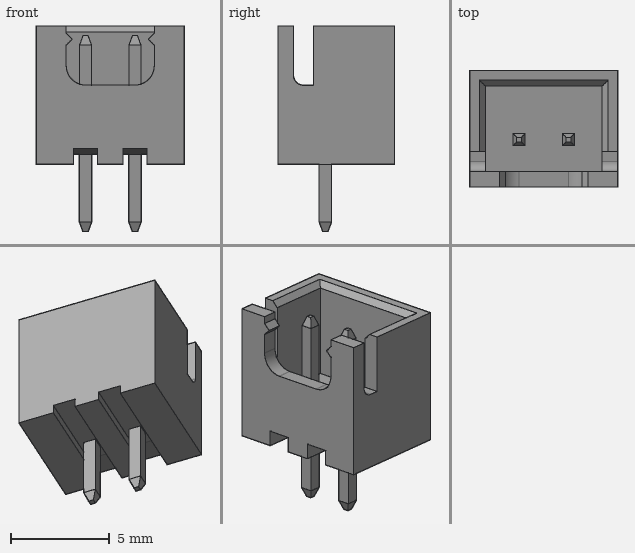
import cadquery as cq

overall_height = 10.4
housing_width = 7.5
housing_depth = 5.91
housing_height = 7.0
wall = 0.8
floor_thickness = 2.0
lead_in = 0.3

opening_width = 4.45
opening_depth = 3.0
opening_radius = 0.99
tooth_reach = 0.3
tooth_drop = 0.68

slot_width = 1.0
slot_radius = 0.5

channel_width = 1.2
channel_height = 0.5
channel_mouth_height = 0.8
channel_slope_length = 1.48

pin_pitch = 2.5
pin_y = 2.4
contact_width = 0.6
tail_width = 0.65
contact_tip_width = 0.24
tail_tip_width = 0.27
pin_recess = 0.48
tip_length = 0.5
pin_top = housing_height - pin_recess
pin_bottom = housing_height - overall_height
pin_positions = (-pin_pitch / 2, pin_pitch / 2)

cut_margin = 0.1


def block(x_range, y_range, z_range):
    """Box between two limits along each axis."""
    size = [high - low for low, high in (x_range, y_range, z_range)]
    corner = (x_range[0], y_range[0], z_range[0])
    return cq.Workplane("XY").box(*size, centered=False).translate(corner)


def make_cavity():
    """Open-topped cavity with a chamfered lead-in on the back and side walls."""
    half_width = housing_width / 2 - wall
    back = housing_depth - wall
    cavity = block((-half_width, half_width), (wall, back), (floor_thickness, housing_height))
    flare_width = 2 * (half_width + lead_in)
    flare = (
        cq.Workplane("XY", origin=(0, 0, housing_height - lead_in))
        .rect(2 * half_width, 2 * back)
        .workplane(offset=lead_in)
        .rect(flare_width, 2 * (back + lead_in))
        .loft(ruled=True)
    )
    behind_front_wall = block(
        (-housing_width, housing_width), (wall, housing_depth), (floor_thickness, housing_height)
    )
    return cavity.union(flare.intersect(behind_front_wall))


def make_opening():
    """Front wall opening with rounded lower corners and a tooth on each side."""
    half_width = opening_width / 2
    bottom = housing_height - opening_depth
    opening = (
        block((-half_width, half_width), (-cut_margin, wall), (bottom, housing_height + cut_margin))
        .edges("|Y and <Z")
        .fillet(opening_radius)
    )
    tooth_z = housing_height - tooth_drop
    for side in (-1, 1):
        root_x = side * half_width
        tooth = (
            cq.Workplane("XZ", origin=(0, wall, 0))
            .moveTo(root_x, tooth_z + tooth_reach)
            .lineTo(root_x - side * tooth_reach, tooth_z)
            .lineTo(root_x, tooth_z - tooth_reach)
            .close()
            .extrude(wall + cut_margin)
        )
        opening = opening.cut(tooth)
    return opening


def make_side_slots():
    """Slot across both side walls, rounded where it meets the front wall."""
    bottom = housing_height - opening_depth
    return (
        block(
            (-housing_width, housing_width),
            (wall, wall + slot_width),
            (bottom, housing_height + cut_margin),
        )
        .edges("|X and <Z and <Y")
        .fillet(slot_radius)
    )


def make_channel(x):
    """Channel along Y whose roof slopes up to a taller mouth at the front."""
    return (
        cq.Workplane("YZ", origin=(x - channel_width / 2, 0, 0))
        .moveTo(0, 0)
        .lineTo(0, channel_mouth_height)
        .lineTo(channel_slope_length, channel_height)
        .lineTo(housing_depth, channel_height)
        .lineTo(housing_depth, 0)
        .close()
        .extrude(channel_width)
    )


def make_tip(x, base_width, tip_width, base_z, tip_z):
    """Square taper from base_z to the blunt end at tip_z."""
    return (
        cq.Workplane("XY", origin=(x, pin_y, base_z))
        .rect(base_width, base_width)
        .workplane(offset=tip_z - base_z)
        .rect(tip_width, tip_width)
        .loft(ruled=True)
    )


def make_shank(x, width, bottom, top):
    """Straight square length of a pin."""
    half = width / 2
    return block((x - half, x + half), (pin_y - half, pin_y + half), (bottom, top))


def make_pin(x):
    """Contact pin above the floor, with a slightly wider solder tail below."""
    shoulder_z = floor_thickness / 2
    contact_end = pin_top - tip_length
    tail_end = pin_bottom + tip_length
    pin = make_shank(x, contact_width, shoulder_z, contact_end)
    pin = pin.union(make_shank(x, tail_width, tail_end, shoulder_z))
    pin = pin.union(make_tip(x, contact_width, contact_tip_width, contact_end, pin_top))
    return pin.union(make_tip(x, tail_width, tail_tip_width, tail_end, pin_bottom))


half_housing = housing_width / 2
result = block((-half_housing, half_housing), (0, housing_depth), (0, housing_height))
result = result.cut(make_cavity()).cut(make_opening()).cut(make_side_slots())

for pin_x in pin_positions:
    result = result.cut(make_channel(pin_x)).union(make_pin(pin_x))